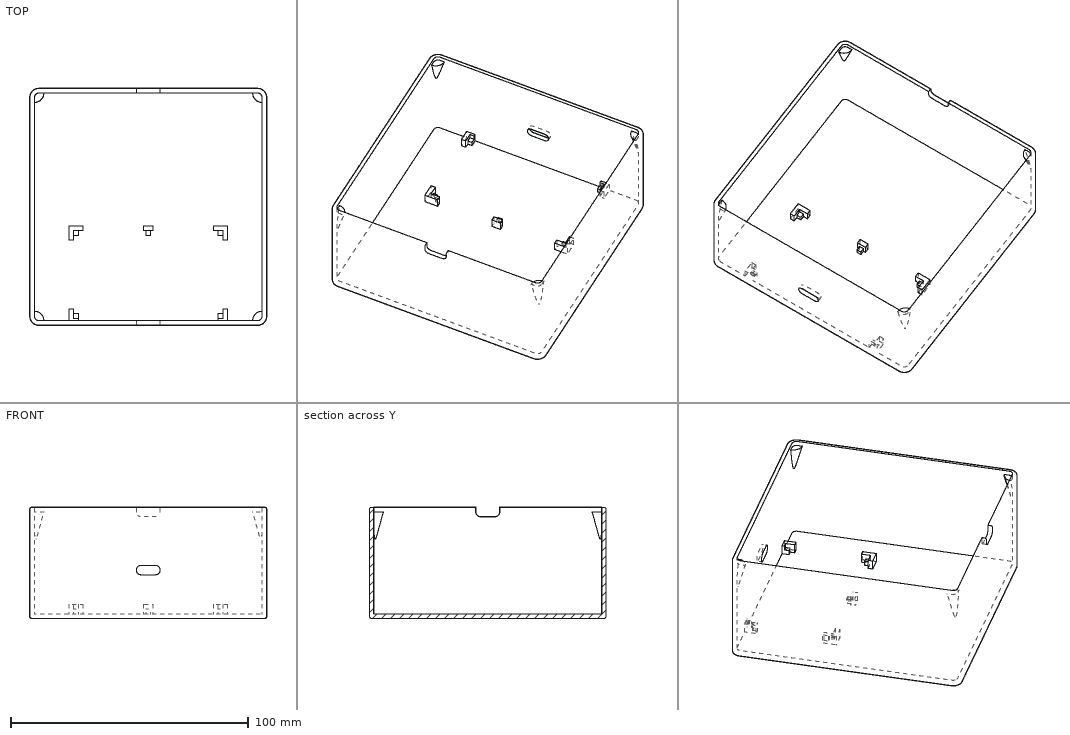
import cadquery as cq

SIDE = 100.0
HEIGHT = 47.0
WALL = 2.0
FLOOR = 2.0
CORNER_RADIUS = 4.0
INNER_CORNER_RADIUS = CORNER_RADIUS - WALL
RIM_FILLET = 1.0
INNER_HALF = SIDE / 2 - WALL

SEAT_RADIUS = 4.0
SEAT_HEIGHT = 14.5
SEAT_DROP = 2.0
SEAT_TOP = HEIGHT - SEAT_DROP

OPENING_WIDTH = 10.0
OPENING_HEIGHT = 4.0
SLOT_CENTRE_Z = 20.45
NOTCH_CORNER_RADIUS = OPENING_HEIGHT / 2

BOARD_HALF_WIDTH = 31.5
BOARD_REAR_Y = -10.0
BOARD_FRONT_Y = -47.0
GUIDE_THICKNESS = 2.0
GUIDE_LENGTH = 4.0
GUIDE_HEIGHT = 4.0
PAD_SIZE = 2.0
PAD_HEIGHT = 2.0
STOP_WIDTH = 4.0


def box_between(x_range, y_range, z_range):
    """Box spanning the given pairs of limits, each in either order."""
    limits = [sorted(pair) for pair in (x_range, y_range, z_range)]
    sizes = [high - low for low, high in limits]
    lows = [low for low, high in limits]
    return cq.Workplane("XY").box(*sizes, centered=False).translate(tuple(lows))


def rounded_block(side, radius, bottom, top):
    """Square block with rounded vertical edges."""
    block = cq.Workplane("XY").workplane(offset=bottom).rect(side, side).extrude(top - bottom)
    return block.edges("|Z").fillet(radius)


def make_outer_block():
    block = rounded_block(SIDE, CORNER_RADIUS, 0, HEIGHT)
    return block.faces("<Z or >Z").edges().fillet(RIM_FILLET)


def make_cavity():
    return rounded_block(2 * INNER_HALF, INNER_CORNER_RADIUS, FLOOR, HEIGHT)


def corner_seat(x_sign, y_sign):
    """Downward-pointing cone centred on the sharp inner corner of the walls."""
    tip = cq.Vector(x_sign * INNER_HALF, y_sign * INNER_HALF, SEAT_TOP - SEAT_HEIGHT)
    return cq.Workplane(cq.Solid.makeCone(0, SEAT_RADIUS, SEAT_HEIGHT, pnt=tip))


def front_slot():
    """Round-ended slot through the front wall only."""
    slot = cq.Workplane("XZ", origin=(0, -INNER_HALF, SLOT_CENTRE_Z))
    return slot.slot2D(OPENING_WIDTH, OPENING_HEIGHT).extrude(WALL)


def rear_notch():
    """Rim notch with rounded lower corners, cut through the rear wall only."""
    half = OPENING_WIDTH / 2
    notch = box_between((-half, half), (INNER_HALF, SIDE / 2), (HEIGHT - OPENING_HEIGHT, HEIGHT))
    return notch.edges("|Y and <Z").fillet(NOTCH_CORNER_RADIUS)


def guide(x_range, y_range):
    return box_between(x_range, y_range, (FLOOR, FLOOR + GUIDE_HEIGHT))


def pad(x_range, y_range):
    return box_between(x_range, y_range, (FLOOR, FLOOR + PAD_HEIGHT))


def board_holder():
    """Rear stop, two rear corner guides and two front corner guides, each with a pad."""
    rear_guide_y = (BOARD_REAR_Y, BOARD_REAR_Y + GUIDE_THICKNESS)
    rear_pad_y = (BOARD_REAR_Y, BOARD_REAR_Y - PAD_SIZE)
    front_pad_y = (BOARD_FRONT_Y, BOARD_FRONT_Y + PAD_SIZE)
    outer = BOARD_HALF_WIDTH + GUIDE_THICKNESS
    pieces = [
        guide((-STOP_WIDTH / 2, STOP_WIDTH / 2), rear_guide_y),
        pad((-PAD_SIZE / 2, PAD_SIZE / 2), rear_pad_y),
    ]
    for side in (-1, 1):
        edge = side * BOARD_HALF_WIDTH
        guide_x = (edge, side * outer)
        pad_x = (edge, side * (BOARD_HALF_WIDTH - PAD_SIZE))
        rear_arm_x = (side * outer, side * (BOARD_HALF_WIDTH - GUIDE_LENGTH))
        pieces += [
            guide(rear_arm_x, rear_guide_y),
            guide(guide_x, (BOARD_REAR_Y, BOARD_REAR_Y - GUIDE_LENGTH)),
            pad(pad_x, rear_pad_y),
            guide(guide_x, (-INNER_HALF, BOARD_FRONT_Y + GUIDE_LENGTH)),
            guide(pad_x, (-INNER_HALF, BOARD_FRONT_Y)),
            pad(pad_x, front_pad_y),
        ]
    return pieces


outer_block = make_outer_block()
body = outer_block.cut(make_cavity())
for x_sign in (-1, 1):
    for y_sign in (-1, 1):
        seat = corner_seat(x_sign, y_sign).intersect(outer_block)
        body = body.union(seat)
for piece in board_holder():
    body = body.union(piece)
result = body.cut(front_slot()).cut(rear_notch())